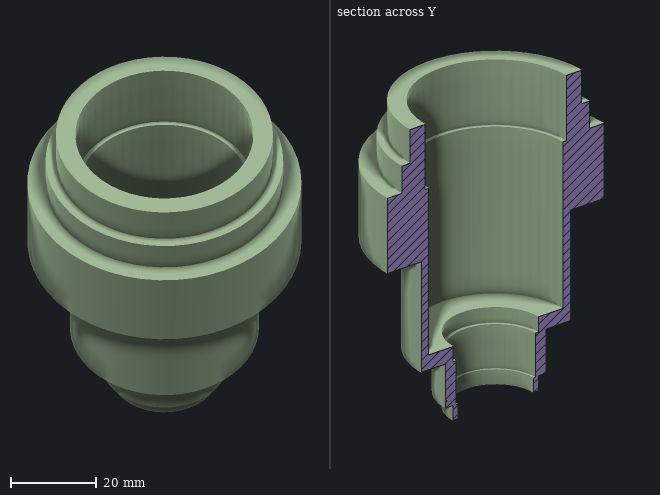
import cadquery as cq

spigot_top = 3.95
neck_top = 15.5
barrel_top = 44.6
flange_top = 64.5
shoulder_top = 71.65
total_height = 80.5

chamber_floor_thickness = 4.0
mouth_depth = 17.15

outer_steps = [
    (25.5, spigot_top),
    (30.0, neck_top),
    (44.4, barrel_top),
    (64.4, flange_top),
    (55.9, shoulder_top),
    (51.0, total_height),
]

bore_steps = [
    (41.9, total_height - mouth_depth),
    (39.8, neck_top + chamber_floor_thickness),
    (25.3, neck_top),
    (23.5, spigot_top),
    (22.4, 0.0),
]


def cylinder(diameter, bottom, top):
    """Cylinder on the Z axis between two heights."""
    return cq.Workplane("XY").workplane(offset=bottom).circle(diameter / 2).extrude(top - bottom)


result = cq.Workplane("XY")
step_bottom = 0.0
for diameter, step_top in outer_steps:
    result = result.union(cylinder(diameter, step_bottom, step_top))
    step_bottom = step_top

for diameter, floor in bore_steps:
    result = result.cut(cylinder(diameter, floor, total_height))